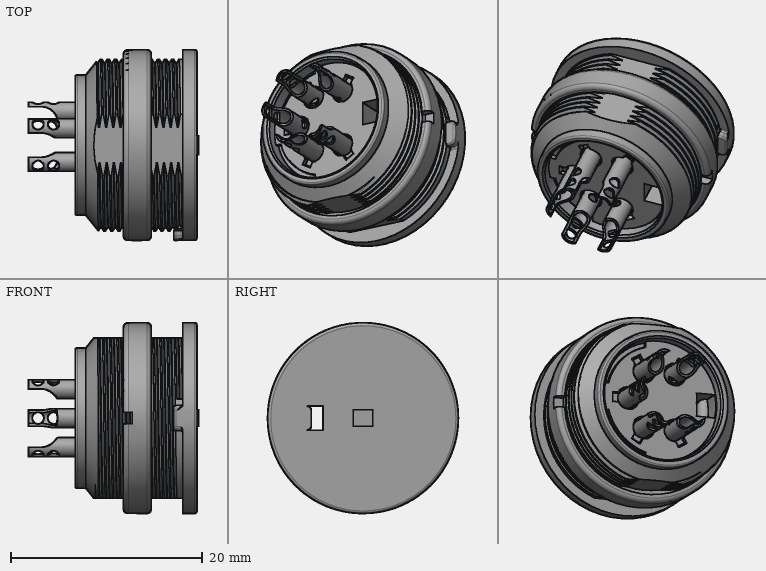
import cadquery as cq
import math


flange_radius = 10.0
flange_thickness = 1.5
flange_edge_round = 0.3
neck_radius = 7.35
neck_rear = -11.27
neck_front = -10.15
neck_edge_round = 0.2
cone_slope = 1.25
flat_height = 8.4

thread_radius = 9.0
thread_root_radius = 8.6
thread_pitch = 0.75
thread_turns = 12.2
thread_end_x = -0.33
thread_end_angle = 167.0
groove_mouth_half = 0.29
groove_root_half = 0.04
groove_overshoot = 0.06

nut_radius = 10.0
nut_rear = -6.23
nut_length = 2.95
nut_edge_round = 0.5
nut_bore_radius = 8.58
nut_mouth_radius = 9.15
nut_slot_width = 1.2
nut_slot_length = 0.95

key_half_width = 1.33
key_length = 0.95
key_inner_radius = 8.95
key_side_round = 0.5
key_end_round = 0.2
key_root_round = 0.2

cavity_mouth_radius = 6.55
cavity_taper = 0.1
floor_x = -10.15
recess_depth = 0.45
recess_inner_radius = 5.9
recess_min_y = 1.55
recess_min_z = 1.45

keyway_inner_y = -4.2
keyway_outer_radius = 6.35
keyway_half_width = 1.25
rib_inner_y = -5.4
rib_rear_x = -8.0
rib_side_round = 0.45
rib_nose_round = 0.95

pin_count = 5
pin_spacing_angle = 60.0
pin_circle_radius = 3.5
pin_radius = 1.0
pin_tip_x = -16.15
pin_bore_radius = 0.75
pin_bore_depth = 6.2
cup_cut_height = 0.5
cup_flat_length = 1.4
cup_arc_radius = 1.65
wire_hole_radius = 0.6
wire_hole_offsets = (1.0, 2.63)
vent_hole_radius = 0.5
vent_hole_offset = 5.45
pocket_radius = 1.2
pocket_depth = 0.5
pocket_slot_width = 1.05
pocket_slot_reach = 1.76
pocket_slot_bottom_reach = 1.6

pad_width = 2.0
pad_height = 1.75
pad_thickness = 0.15

overlap = 0.1


def box(x_range, y_range, z_range):
    """Axis-aligned box between the given limits."""
    sizes = [high - low for low, high in (x_range, y_range, z_range)]
    corner = (x_range[0], y_range[0], z_range[0])
    return cq.Workplane("XY").box(*sizes, centered=False).translate(corner)


def x_cylinder(radius, x_start, x_end, y=0.0):
    """Cylinder along X at height z = 0."""
    return cq.Workplane("YZ", origin=(x_start, y, 0)).circle(radius).extrude(x_end - x_start)


def revolve_about_x(profile):
    return profile.close().revolve(360, (0, 0, 0), (1, 0, 0))


def make_thread_groove():
    """Trapezoidal helical groove; it runs out at the rear, beyond the cone."""
    length = thread_pitch * thread_turns
    helix = cq.Wire.makeHelix(thread_pitch, length, thread_radius)
    flank = (groove_mouth_half - groove_root_half) / (thread_radius - thread_root_radius)
    outer_radius = thread_radius + groove_overshoot
    outer_half = groove_mouth_half + flank * groove_overshoot
    groove = (
        cq.Workplane("XZ")
        .moveTo(thread_root_radius, -groove_root_half)
        .lineTo(outer_radius, -outer_half)
        .lineTo(outer_radius, outer_half)
        .lineTo(thread_root_radius, groove_root_half)
        .close()
        .sweep(cq.Workplane(helix), isFrenet=True)
    )
    groove = groove.rotate((0, 0, 0), (1, 1, 1), 120)
    start_angle = thread_end_angle - 360 * thread_turns
    groove = groove.rotate((0, 0, 0), (1, 0, 0), start_angle)
    return groove.translate((thread_end_x - length, 0, 0))


def make_barrel():
    """Neck, cone and threaded barrel with two flats."""
    cone_front = neck_front + (thread_radius - neck_radius) / cone_slope
    barrel = revolve_about_x(
        cq.Workplane("XY")
        .moveTo(neck_rear, 0)
        .lineTo(neck_rear, neck_radius)
        .lineTo(neck_front, neck_radius)
        .lineTo(cone_front, thread_radius)
        .lineTo(overlap, thread_radius)
        .lineTo(overlap, 0)
    )
    barrel = barrel.faces("<X").edges().fillet(neck_edge_round)
    barrel = barrel.cut(make_thread_groove())
    between_flats = box(
        (neck_rear, overlap),
        (-flange_radius, flange_radius),
        (-flat_height, flat_height),
    )
    return barrel.intersect(between_flats)


def make_flange():
    """Round flange with the anti-rotation key standing on its seating face."""
    flange = x_cylinder(flange_radius, 0, flange_thickness)
    flange = flange.faces(">X").edges().fillet(flange_edge_round)
    flange = flange.union(make_key())
    root_edges = cq.selectors.BoxSelector(
        (-overlap, -flange_radius + key_side_round / 2, -flange_radius),
        (overlap, -key_inner_radius - overlap, flange_radius),
    )
    return flange.edges(root_edges).edges("|Y").fillet(key_root_round)


def make_key():
    """Block flush with the flange rim and rounded at the outside."""
    key = box(
        (-key_length, overlap),
        (-flange_radius, -key_inner_radius),
        (-key_half_width, key_half_width),
    )
    key = key.intersect(x_cylinder(flange_radius, -key_length, overlap))
    key = key.faces("<Y").edges("|X").fillet(key_side_round)
    return key.faces("<X").edges("not >Y").fillet(key_end_round)


def make_nut():
    """Ring with countersunk bore and a driver slot at each side of its rear face."""
    nut_front = nut_rear + nut_length
    countersink = nut_mouth_radius - nut_bore_radius
    nut = x_cylinder(nut_radius, nut_rear, nut_front).edges().fillet(nut_edge_round)
    bore = revolve_about_x(
        cq.Workplane("XY")
        .moveTo(nut_rear, 0)
        .lineTo(nut_rear, nut_mouth_radius)
        .lineTo(nut_rear + countersink, nut_bore_radius)
        .lineTo(nut_front - countersink, nut_bore_radius)
        .lineTo(nut_front, nut_mouth_radius)
        .lineTo(nut_front, 0)
    )
    slots = box(
        (nut_rear, nut_rear + nut_slot_length),
        (-nut_radius, nut_radius),
        (-nut_slot_width / 2, nut_slot_width / 2),
    )
    return nut.cut(bore).cut(slots)


def cavity_radius_at(x):
    """Radius of the tapered cavity wall."""
    return cavity_mouth_radius - cavity_taper * (x - neck_rear - neck_edge_round)


def make_cavity(end_x):
    """Tapered rear cavity with a rounded mouth, ending flat at the given x."""
    return revolve_about_x(
        cq.Workplane("XY")
        .moveTo(neck_rear, 0)
        .lineTo(neck_rear, cavity_mouth_radius + neck_edge_round)
        .radiusArc((neck_rear + neck_edge_round, cavity_mouth_radius), neck_edge_round)
        .lineTo(end_x, cavity_radius_at(end_x))
        .lineTo(end_x, 0)
    )


def make_floor_recesses():
    """Two shallow arc-shaped recesses along the rim of the insert floor."""
    recess_front = floor_x + recess_depth
    ring = make_cavity(recess_front).cut(x_cylinder(recess_inner_radius, neck_rear, recess_front))
    x_limits = (floor_x - overlap, recess_front)
    y_limits = (recess_min_y, neck_radius)
    upper = ring.intersect(box(x_limits, y_limits, (recess_min_z, neck_radius)))
    return upper.union(upper.mirror("XY"))


def make_rib_nose():
    """Limiting shape of the rib, with a quarter-round lead-in at its rear end."""
    return (
        cq.Workplane("XY", origin=(0, 0, -keyway_half_width))
        .moveTo(flange_thickness, rib_inner_y)
        .lineTo(rib_rear_x + rib_nose_round, rib_inner_y)
        .radiusArc((rib_rear_x, rib_inner_y - rib_nose_round), -rib_nose_round)
        .lineTo(rib_rear_x, -cavity_mouth_radius)
        .lineTo(flange_thickness, -cavity_mouth_radius)
        .close()
        .extrude(2 * keyway_half_width)
    )


def make_keyway():
    """Passage through the insert, less the rounded rib that grows from the shell."""
    z_limits = (-keyway_half_width, keyway_half_width)
    x_limits = (floor_x - overlap, flange_thickness)
    keyway = box(x_limits, (-cavity_mouth_radius, keyway_inner_y), z_limits)
    keyway = keyway.intersect(x_cylinder(keyway_outer_radius, x_limits[0], flange_thickness))
    rib = box((rib_rear_x, flange_thickness), (-cavity_mouth_radius, rib_inner_y), z_limits)
    rib = rib.edges("|X and >Y").fillet(rib_side_round)
    rib = rib.intersect(make_rib_nose())
    return keyway.cut(rib)


def place_on_pin_circle(body, index):
    """Turn a body made at the +Y pin position to another pin position."""
    first_angle = -pin_spacing_angle * (pin_count - 1) / 2
    return body.rotate((0, 0, 0), (1, 0, 0), first_angle + index * pin_spacing_angle)


def make_radial_hole(radius, tip_offset, reach):
    """Hole from the pin axis through one wall: outward if reach is positive."""
    start = (pin_tip_x + tip_offset, pin_circle_radius, 0)
    return cq.Workplane("XZ", origin=start).circle(radius).extrude(-reach)


def make_pin():
    """Hollow solder pin at the +Y position; its cup opens toward the part axis."""
    axis_y = pin_circle_radius
    pin = x_cylinder(pin_radius, pin_tip_x, floor_x + pocket_depth + overlap, axis_y)

    cut_y = axis_y + cup_cut_height
    inner_y = axis_y - pin_radius - overlap
    flat_end_x = pin_tip_x + cup_flat_length
    arc_drop = cut_y - inner_y
    arc_run = math.sqrt(cup_arc_radius**2 - (cup_arc_radius - arc_drop) ** 2)
    cup = (
        cq.Workplane("XY", origin=(0, 0, -pin_radius))
        .moveTo(pin_tip_x, cut_y)
        .lineTo(flat_end_x, cut_y)
        .radiusArc((flat_end_x + arc_run, inner_y), cup_arc_radius)
        .lineTo(pin_tip_x, inner_y)
        .close()
        .extrude(2 * pin_radius)
    )
    pin = pin.cut(cup)
    pin = pin.cut(x_cylinder(pin_bore_radius, pin_tip_x, pin_tip_x + pin_bore_depth, axis_y))

    for offset in wire_hole_offsets:
        pin = pin.cut(make_radial_hole(wire_hole_radius, offset, pin_radius))
    return pin.cut(make_radial_hole(vent_hole_radius, vent_hole_offset, -pin_radius))


def make_pin_pocket():
    """Round clearance around a pin with a slot, sloped at its end, on the outer side."""
    end_x = floor_x + pocket_depth
    pocket = x_cylinder(pocket_radius, floor_x, end_x, pin_circle_radius)
    slot = (
        cq.Workplane("XY", origin=(0, 0, -pocket_slot_width / 2))
        .moveTo(floor_x, pin_circle_radius)
        .lineTo(floor_x, pin_circle_radius + pocket_slot_reach)
        .lineTo(end_x, pin_circle_radius + pocket_slot_bottom_reach)
        .lineTo(end_x, pin_circle_radius)
        .close()
        .extrude(pocket_slot_width)
    )
    return pocket.union(slot)


def make_front_pad():
    return box(
        (flange_thickness - overlap, flange_thickness + pad_thickness),
        (-pad_width / 2, pad_width / 2),
        (-pad_height / 2, pad_height / 2),
    )


result = make_barrel().union(make_flange()).union(make_nut())
result = result.cut(make_cavity(floor_x)).cut(make_floor_recesses()).cut(make_keyway())
pin_pocket = make_pin_pocket()
pin = make_pin()
for index in range(pin_count):
    result = result.cut(place_on_pin_circle(pin_pocket, index))
    result = result.union(place_on_pin_circle(pin, index))
result = result.union(make_front_pad())